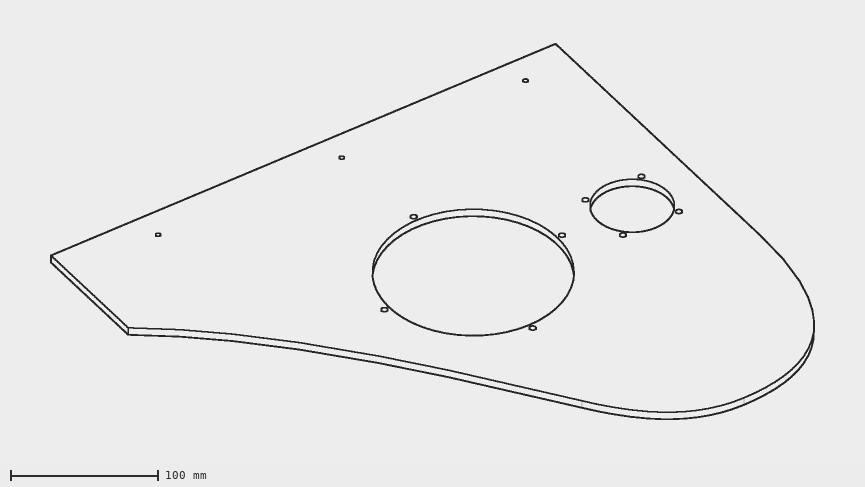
import cadquery as cq

width = 390.5
height = 413.0
thickness = 6.0
bottom_edge_end = 94.5
top_edge_end = 250.0

rightmost_point = (width, 305.5)
inflection_point = (332.0, 212.0)
nose_top_controls = [(353.0, height), (width, 370.3)]
nose_bottom_controls = [(width, 265.0), (366.0, 236.5)]
waist_controls = [(251.5, 155.0), (153.0, 84.5)]

opening_x = 175.0
large_opening_y = 228.3
large_opening_diameter = 137.0
large_screw_circle_radius = 72.5
small_opening_y = 358.5
small_opening_diameter = 57.5
small_screw_spacing = 46.0
screw_hole_diameter = 4.5

mounting_hole_x = 22.0
mounting_hole_middle_y = 223.5
mounting_hole_pitch = 150.3
mounting_hole_diameter = 3.5


def make_plate():
    """Flat plate with a rounded nose that sweeps down to a narrow foot."""
    top_edge_point = (top_edge_end, height)
    foot_point = (bottom_edge_end, 0)
    return (
        cq.Workplane("XY")
        .lineTo(0, height)
        .lineTo(*top_edge_point)
        .bezier([top_edge_point, *nose_top_controls, rightmost_point])
        .bezier([rightmost_point, *nose_bottom_controls, inflection_point])
        .bezier([inflection_point, *waist_controls, foot_point])
        .close()
        .extrude(thickness)
    )


def cut_holes(plate, centers, diameter):
    """Cut equal round holes through the plate at the given centers."""
    cutter = cq.Workplane("XY").pushPoints(centers).circle(diameter / 2).extrude(thickness)
    return plate.cut(cutter)


result = make_plate()

result = cut_holes(result, [(opening_x, large_opening_y)], large_opening_diameter)
large_screw_centers = [
    (opening_x + dx * large_screw_circle_radius, large_opening_y + dy * large_screw_circle_radius)
    for dx, dy in [(1, 0), (0, 1), (-1, 0), (0, -1)]
]
result = cut_holes(result, large_screw_centers, screw_hole_diameter)

result = cut_holes(result, [(opening_x, small_opening_y)], small_opening_diameter)
small_screw_centers = [
    (opening_x + dx * small_screw_spacing / 2, small_opening_y + dy * small_screw_spacing / 2)
    for dx in (-1, 1)
    for dy in (-1, 1)
]
result = cut_holes(result, small_screw_centers, screw_hole_diameter)

mounting_centers = [
    (mounting_hole_x, mounting_hole_middle_y + step * mounting_hole_pitch) for step in (-1, 0, 1)
]
result = cut_holes(result, mounting_centers, mounting_hole_diameter)